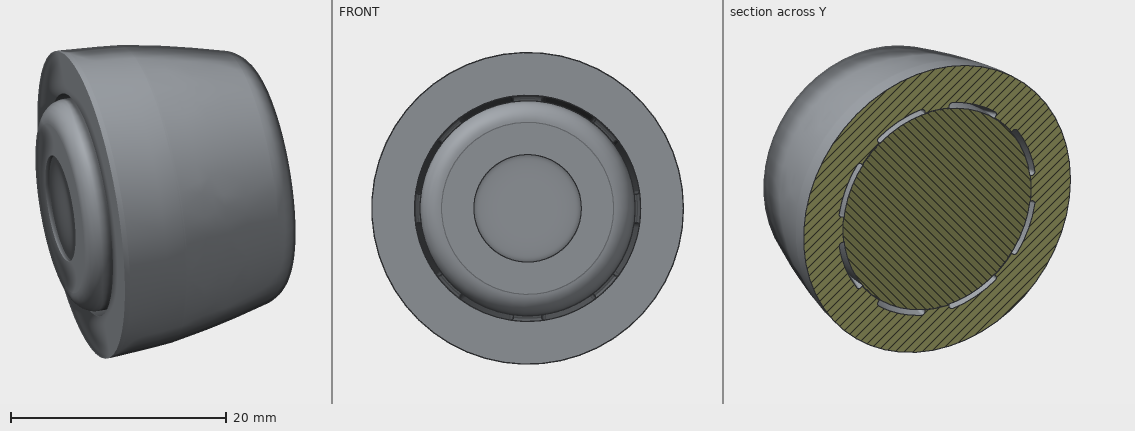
import cadquery as cq
import math


housing_length = 18.0
face_radius = 14.5
rim_length = 0.5
skirt_middle = 3.25
skirt_middle_radius = 14.32
band_start = 6.0
band_length = 0.2
band_start_radius = 14.08
band_end_radius = 14.05
side_middle = 11.0
side_middle_radius = 13.14
crown_rounding = 3.0
crown_slope = 14.0
crown_flat_radius = 9.06

pocket_mouth_radius = 10.52
pocket_straight_depth = 4.3
pocket_taper_length = 2.0
pocket_depth = pocket_straight_depth + pocket_taper_length

plug_radius = 10.0
plug_protrusion = 2.0
plug_rounding = 2.0
dimple_radius = 5.0
dimple_depth = 0.4

rib_count = 8
rib_width = 2.6
rib_fillet = 0.3
rib_setback = 4.0
rib_overlap = 1.0

position_tolerance = 0.005


def turn_about_y(profile):
    """Revolve a closed XY profile a full turn about the Y axis."""
    return profile.close().revolve(360, (0, 0, 0), (0, 1, 0))


def disc(radius, start, end):
    """A cylinder about the Y axis that fills start <= Y <= end."""
    return cq.Workplane("XZ", origin=(0, start, 0)).circle(radius).extrude(start - end)


def make_housing_blank():
    """The solid outside shape: rim, skirt, narrow band, curved side and rounded crown."""
    rounding_centre = housing_length - crown_rounding

    def crown_point(degrees):
        angle = math.radians(degrees)
        return (
            crown_flat_radius + crown_rounding * math.cos(angle),
            rounding_centre + crown_rounding * math.sin(angle),
        )

    profile = (
        cq.Workplane("XY")
        .lineTo(face_radius, 0)
        .lineTo(face_radius, rim_length)
        .threePointArc((skirt_middle_radius, skirt_middle), (band_start_radius, band_start))
        .lineTo(band_end_radius, band_start + band_length)
        .threePointArc((side_middle_radius, side_middle), crown_point(crown_slope))
        .threePointArc(crown_point((crown_slope + 90) / 2), crown_point(90))
        .lineTo(0, housing_length)
    )
    return turn_about_y(profile)


def make_pocket():
    """The pocket: straight at the mouth, then narrowing to the plug radius at the floor."""
    profile = (
        cq.Workplane("XY")
        .lineTo(pocket_mouth_radius, 0)
        .lineTo(pocket_mouth_radius, pocket_straight_depth)
        .lineTo(plug_radius, pocket_depth)
        .lineTo(0, pocket_depth)
    )
    return turn_about_y(profile)


def make_ribs():
    """Rib bars, long enough to sink into the pocket wall; the plug bore trims their inner ends."""
    inner_end = plug_radius - rib_overlap
    outer_end = pocket_mouth_radius + rib_overlap
    bar = cq.Workplane("XY").box(
        outer_end - inner_end, pocket_depth - rib_setback, rib_width, centered=(False, False, True)
    )
    bar = bar.translate((inner_end, rib_setback, 0))
    return [bar.rotate((0, 0, 0), (0, 1, 0), i * 360 / rib_count) for i in range(rib_count)]


def pocket_radius(depth):
    """Radius of the pocket wall at a depth below the open face."""
    taper_share = max(0, depth - pocket_straight_depth) / pocket_taper_length
    return pocket_mouth_radius + (plug_radius - pocket_mouth_radius) * taper_share


def is_rib_root(edge):
    """True for the edges along which a rib meets the wall of the pocket, between its mouth and floor."""
    middle = edge.positionAt(0.5)
    on_wall = abs(math.hypot(middle.x, middle.z) - pocket_radius(middle.y)) < position_tolerance
    below_mouth = edge.BoundingBox().ymin > rib_setback - position_tolerance
    above_floor = middle.y < pocket_depth - position_tolerance
    return on_wall and below_mouth and above_floor


def make_housing():
    pocket = make_pocket()
    for bar in make_ribs():
        pocket = pocket.cut(bar)
    housing = make_housing_blank().cut(pocket)
    roots = [edge for edge in housing.edges().vals() if is_rib_root(edge)]
    housing = housing.newObject(roots).fillet(rib_fillet)
    return housing.cut(disc(plug_radius, 0, pocket_depth))


def make_plug():
    plug = disc(plug_radius, -plug_protrusion, pocket_depth)
    plug = plug.faces("<Y").edges().fillet(plug_rounding)
    return plug.cut(disc(dimple_radius, -plug_protrusion, dimple_depth - plug_protrusion))


housing = make_housing()
plug = make_plug()

result = cq.Compound.makeCompound([housing.val(), plug.val()])